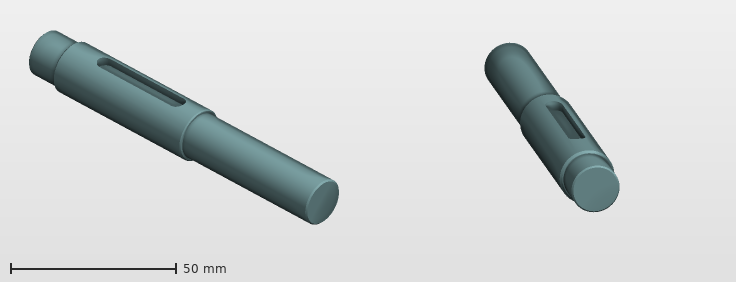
import cadquery as cq

total_length = 115.0
shaft_diameter = 15.0
shaft_chamfer = 0.5

collar_diameter = 17.0
collar_start = 10.9
collar_length = 52.9
collar_left_chamfer = 0.7
collar_right_chamfer = 0.3

keyway_start = 22.4
keyway_length = 35.0
keyway_width = 5.3
keyway_depth = 3.0

dimple_diameter = 7.1
dimple_depth = 3.0

left_end = -total_length / 2
collar_left = left_end + collar_start
collar_center = collar_left + collar_length / 2
collar_radius = collar_diameter / 2
keyway_center = left_end + keyway_start + keyway_length / 2


def cylinder_along_x(start, length, diameter):
    return cq.Workplane("YZ", origin=(start, 0, 0)).circle(diameter / 2).extrude(length)


def make_shaft():
    shaft = cylinder_along_x(left_end, total_length, shaft_diameter)
    return shaft.faces("<X or >X").chamfer(shaft_chamfer)


def make_collar():
    collar = cylinder_along_x(collar_left, collar_length, collar_diameter)
    collar = collar.faces("<X").chamfer(collar_left_chamfer)
    return collar.faces(">X").chamfer(collar_right_chamfer)


def make_keyway_cutter():
    """Round-ended, flat-bottomed keyway in the top of the collar."""
    floor = collar_radius - keyway_depth
    return (
        cq.Workplane("XY", origin=(keyway_center, 0, floor))
        .slot2D(keyway_length, keyway_width)
        .extrude(collar_radius)
    )


def make_dimple_cutter():
    """Blind round hole in the underside, midway along the collar."""
    return (
        cq.Workplane("XY", origin=(collar_center, 0, -collar_radius))
        .circle(dimple_diameter / 2)
        .extrude(dimple_depth)
    )


body = make_shaft().union(make_collar())
result = body.cut(make_keyway_cutter()).cut(make_dimple_cutter())